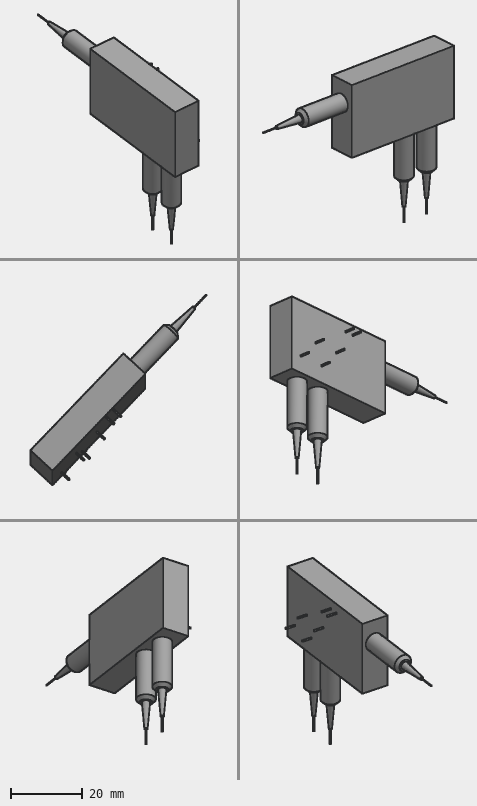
import cadquery as cq

body_length = 38.0
body_depth = 8.5
body_height = 22.8

sleeve_diameter = 5.6
sleeve_length = 14.55
nose_chamfer = 1.0
boot_length = 8.5
boot_root_diameter = 2.4
boot_tip_diameter = 1.0
fibre_length = 4.95
side_fibre_diameter = 0.3
bottom_fibre_diameter = 0.5

side_lead_y = 4.55
side_lead_drop = 7.2
bottom_lead_y = 4.1
bottom_lead_pitch = 8.4
bottom_lead_first_x = 22.9
bottom_lead_xs = [bottom_lead_first_x, bottom_lead_first_x + bottom_lead_pitch]

pin_diameter = 0.5
pin_length = 3.0
side_pair_xs = [13.2, 16.1]
side_pair_drop = 3.0
bottom_pair_span = 6.0
bottom_pair_left_drop = 11.05
bottom_pair_right_drop = 17.4


def lead_solid(fibre_diameter):
    """Lead revolved about Z, rooted on the XY plane and pointing along +Z."""
    sleeve_radius = sleeve_diameter / 2
    nose_end = sleeve_length + nose_chamfer
    boot_end = nose_end + boot_length
    fibre_end = boot_end + fibre_length
    return (
        cq.Workplane("XZ")
        .moveTo(0, 0)
        .lineTo(sleeve_radius, 0)
        .lineTo(sleeve_radius, sleeve_length)
        .lineTo(sleeve_radius - nose_chamfer, nose_end)
        .lineTo(boot_root_diameter / 2, nose_end)
        .lineTo(boot_tip_diameter / 2, boot_end)
        .lineTo(fibre_diameter / 2, boot_end)
        .lineTo(fibre_diameter / 2, fibre_end)
        .lineTo(0, fibre_end)
        .close()
        .revolve(360, (0, 0, 0), (0, 1, 0))
    )


def side_lead():
    """Lead leaving the left face along -X."""
    pointing_left = lead_solid(side_fibre_diameter).rotate((0, 0, 0), (0, 1, 0), -90)
    return pointing_left.translate((0, side_lead_y, body_height - side_lead_drop))


def bottom_lead(x):
    """Lead leaving the bottom face along -Z."""
    pointing_down = lead_solid(bottom_fibre_diameter).rotate((0, 0, 0), (1, 0, 0), 180)
    return pointing_down.translate((x, bottom_lead_y, 0))


def pin(x, drop):
    """Round pin standing on the back face along +Y."""
    standing = cq.Workplane("XZ").circle(pin_diameter / 2).extrude(-pin_length)
    return standing.translate((x, body_depth, body_height - drop))


result = cq.Workplane("XY").box(body_length, body_depth, body_height, centered=False)
result = result.union(side_lead())

for pin_x in side_pair_xs:
    result = result.union(pin(pin_x, side_pair_drop))

for lead_x in bottom_lead_xs:
    result = result.union(bottom_lead(lead_x))
    result = result.union(pin(lead_x - bottom_pair_span / 2, bottom_pair_left_drop))
    result = result.union(pin(lead_x + bottom_pair_span / 2, bottom_pair_right_drop))